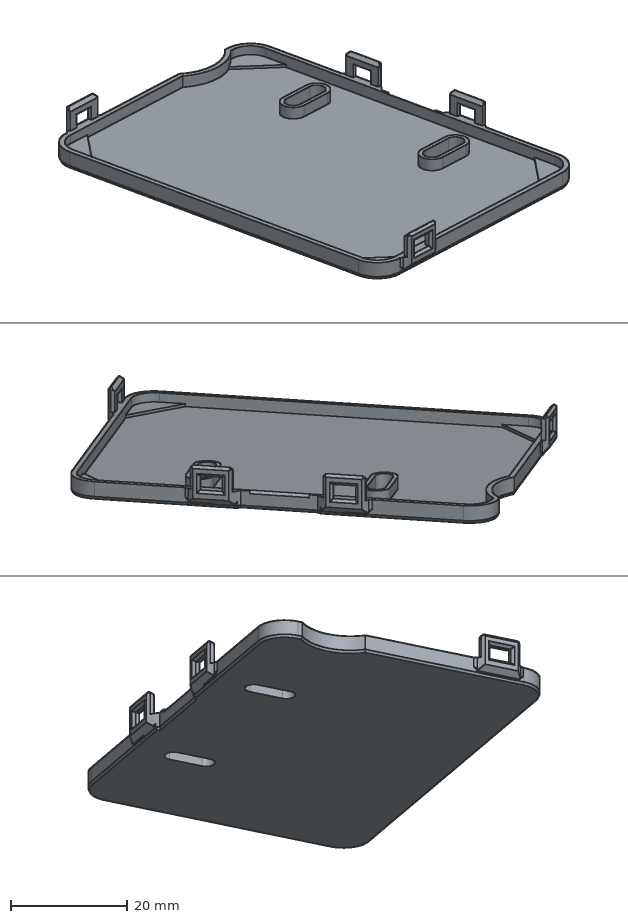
import cadquery as cq

overall_length = 77.5
overall_depth = 54.6
overall_height = 7.6
clip_thickness = 1.25
body_length = overall_length - 2 * clip_thickness
body_depth = overall_depth - clip_thickness
wall_height = 3.2
wall = 1.0
floor = 1.0
corner_radius = 5.0
bottom_bevel_height = 0.5
bottom_bevel_inset = 0.2

pad_leg = 10.6
pad_height = 0.5

notch_radius = 8.8
notch_depth = 2.4
notch_y = 14.7

slot_x = 15.6
slot_y = 16.1
slot_width = 3.2
slot_length = 9.4
collar_wall = 0.8

clip_bevel = 0.5
clip_width = 7.35
inner_bevel = 0.73
clip_foot_height = 1.7
foot_corner = 1.0
root_depth = 0.2
root_spread = 0.55
window_width = 3.95
window_height = 2.55
back_clip_x = 11.7
side_clip_y = -16.8

recess_depth = 0.5
clip_flare = clip_thickness - clip_bevel
recess_length = 2 * (back_clip_x - clip_width / 2 - clip_flare)
rim_bevel_length = 10.45


def tray_outline(inset, height):
    """Solid with the rounded tray outline moved inwards by inset, less the finger notch."""
    block = (
        cq.Workplane("XY")
        .rect(body_length - 2 * inset, body_depth - 2 * inset)
        .extrude(height)
        .edges("|Z")
        .fillet(corner_radius - inset)
    )
    notch_x = -body_length / 2 + notch_depth - notch_radius
    notch = cq.Workplane("XY").center(notch_x, notch_y).circle(notch_radius + inset).extrude(height)
    return block.cut(notch)


def back_recess():
    """Shallow cutter in the back wall whose ends lean at 45 degrees."""
    half = recess_length / 2
    back = body_depth / 2
    return (
        cq.Workplane("XY")
        .moveTo(-half, back)
        .lineTo(half, back)
        .lineTo(half - recess_depth, back - recess_depth)
        .lineTo(-half + recess_depth, back - recess_depth)
        .close()
        .extrude(wall_height)
    )


def rim_bevel():
    """45 degree cutter for the top of the thin wall left by the recess."""
    drop = wall - recess_depth
    back = body_depth / 2 - recess_depth
    return (
        cq.Workplane("YZ")
        .moveTo(back - drop, wall_height)
        .lineTo(back, wall_height)
        .lineTo(back, wall_height - drop)
        .close()
        .extrude(rim_bevel_length / 2, both=True)
    )


def corner_pads():
    """Triangular pads filling the corners of the floor."""
    half_x = body_length / 2
    half_y = body_depth / 2
    pads = cq.Workplane("XY")
    for sx in (-1, 1):
        for sy in (-1, 1):
            triangle = [
                (sx * half_x, sy * half_y),
                (sx * (half_x - pad_leg), sy * half_y),
                (sx * half_x, sy * (half_y - pad_leg)),
            ]
            pads = pads.add(cq.Workplane("XY").polyline(triangle).close().extrude(floor + pad_height))
    return pads.combine().intersect(tray_outline(wall / 2, wall_height))


def slots(margin):
    """Upright obround columns, wider than the strap slots by margin all round."""
    return (
        cq.Workplane("XY")
        .pushPoints([(-slot_x, slot_y), (slot_x, slot_y)])
        .slot2D(slot_length + 2 * margin, slot_width + 2 * margin, 90)
        .extrude(wall_height)
    )


def frustum(width, z_low, z_high, y_start, depth, growth):
    """Rectangle facing +Y at y_start, lofted towards -Y over depth while growing on every side."""
    middle = (z_low + z_high) / 2
    height = z_high - z_low
    return (
        cq.Workplane("XZ", origin=(0, y_start, middle))
        .rect(width, height)
        .workplane(offset=depth)
        .rect(width + 2 * growth, height + 2 * growth)
        .loft()
    )


def clip_root(sides):
    """Shallow wedges that spread the clip foot over the wall on the given sides."""
    half = clip_width / 2 + clip_flare - root_depth
    root = cq.Workplane("XY")
    for side in sides:
        wedge = [
            (0, -root_depth),
            (0, root_depth),
            (side * half, root_depth),
            (side * (half + root_spread), 0),
            (side * (half + root_spread), -root_depth),
        ]
        profile = cq.Workplane("XY", origin=(0, 0, bottom_bevel_height)).polyline(wedge).close()
        root = root.add(profile.extrude(wall_height - bottom_bevel_height))
    return root.combine()


def clip(root_sides):
    """Clip on a wall whose outer face is Y = 0, projecting towards +Y."""
    reach = clip_thickness + recess_depth
    shape = frustum(
        clip_width - 2 * clip_bevel, clip_foot_height, overall_height - clip_bevel, clip_thickness, reach, reach
    )

    foot_width = clip_width + 2 * (clip_flare - root_depth + root_spread)
    foot_height = wall_height - bottom_bevel_height
    foot = (
        cq.Workplane("XY", origin=(0, 0, bottom_bevel_height))
        .box(foot_width, 2 * reach, foot_height, centered=(True, True, False))
        .edges("|Y and <Z")
        .chamfer(foot_corner)
    )
    frame = (
        cq.Workplane("XY")
        .box(clip_width, clip_thickness, overall_height, centered=(True, False, False))
        .edges("|Y and >Z")
        .chamfer(clip_bevel)
        .faces("<Y")
        .edges(">Z")
        .chamfer(inner_bevel)
    )
    shape = shape.intersect(foot.union(frame))
    shape = shape.union(clip_root(root_sides).intersect(foot))

    window_top = wall_height + window_height
    window = cq.Workplane("XY", origin=(0, 0, wall_height)).box(
        window_width, clip_thickness, window_height, centered=(True, False, False)
    )
    window_rim = frustum(
        window_width + 2 * clip_bevel,
        wall_height - clip_bevel,
        window_top + clip_bevel,
        clip_thickness,
        clip_bevel,
        -clip_bevel,
    )
    return shape.cut(window).cut(window_rim)


tray = tray_outline(0, wall_height).cut(back_recess())
tray = tray.faces("<Z").chamfer(bottom_bevel_inset, bottom_bevel_height)
tray = tray.cut(tray_outline(wall, wall_height).translate((0, 0, floor)))
tray = tray.cut(rim_bevel())
tray = tray.union(corner_pads()).union(slots(collar_wall)).cut(slots(0))

for side in (-1, 1):
    tray = tray.union(clip([side]).translate((side * back_clip_x, body_depth / 2, 0)))
for side, turn in ((-1, 90), (1, -90)):
    side_clip = clip([-1, 1]).rotate((0, 0, 0), (0, 0, 1), turn)
    tray = tray.union(side_clip.translate((side * body_length / 2, side_clip_y, 0)))

result = tray